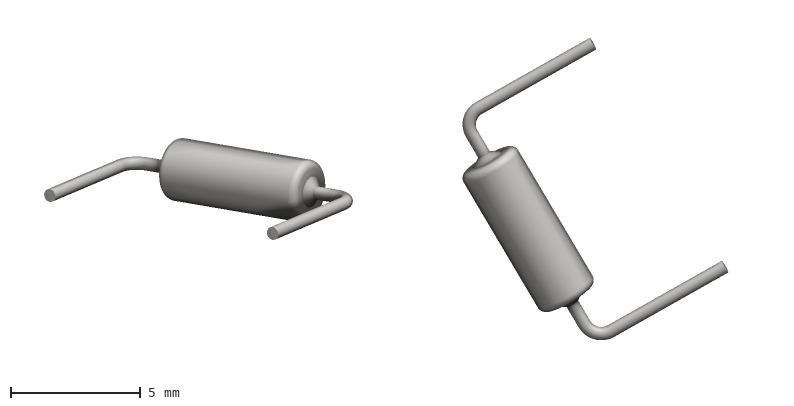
import cadquery as cq

overall_length = 10.67
overall_depth = 7.04
body_length = 6.28
body_diameter = 2.44
body_radius = body_diameter / 2
body_edge_radius = 0.29

cone_base_radius = body_radius / 2
cone_height = 0.26

lead_diameter = 0.51
lead_radius = lead_diameter / 2
lead_bend_radius = 0.75
lead_drop = overall_depth - body_radius

lead_axis_x = overall_length / 2 - lead_radius
body_end_x = body_length / 2


def make_body():
    """Cylinder with rounded end edges, centred on the origin."""
    cylinder = cq.Workplane("YZ", origin=(-body_end_x, 0, 0)).circle(body_radius).extrude(body_length)
    return cylinder.edges("%CIRCLE").fillet(body_edge_radius)


def make_end_cone():
    """Cone that narrows from the +X body end to the lead."""
    profile = (
        cq.Workplane("XY")
        .moveTo(body_end_x, 0)
        .lineTo(body_end_x, cone_base_radius)
        .lineTo(body_end_x + cone_height, lead_radius)
        .lineTo(body_end_x + cone_height, 0)
        .close()
    )
    return profile.revolve(360, (0, 0, 0), (1, 0, 0))


def make_lead():
    """Round wire that leaves the +X body end and bends to -Y."""
    path = (
        cq.Workplane("XY")
        .moveTo(body_end_x, 0)
        .lineTo(lead_axis_x - lead_bend_radius, 0)
        .tangentArcPoint((lead_bend_radius, -lead_bend_radius))
        .lineTo(lead_axis_x, -lead_drop)
    )
    section = cq.Workplane("YZ", origin=(body_end_x, 0, 0)).circle(lead_radius)
    return section.sweep(path)


right_end = make_end_cone().union(make_lead())
left_end = right_end.mirror("YZ")

result = make_body().union(right_end).union(left_end)